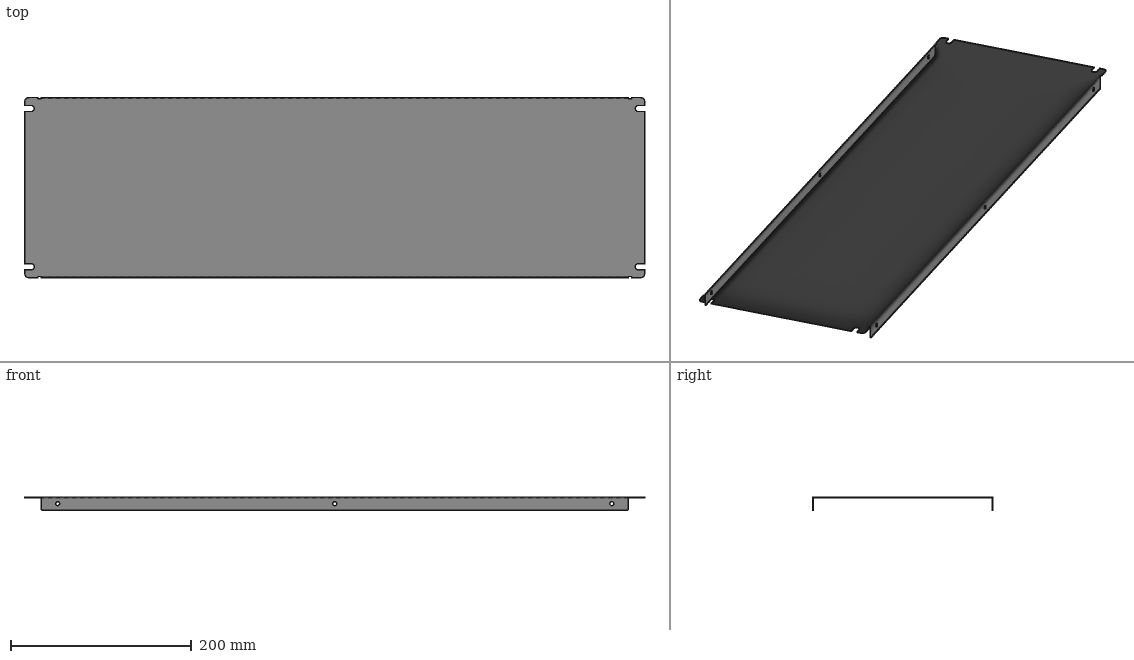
import cadquery as cq

length = 686.5
width = 199.6
height = 15.0

sheet = 1.0
bend_outer_radius = 1.25
bend_inner_radius = bend_outer_radius - sheet

ear_corner_radius = 4.5
relief_start = 14.5
relief_width = 3.75
relief_depth = bend_outer_radius

slot_width = 6.5
slot_depth = 10.5
slot_edge_distance = 12.2

flange_inset = relief_start + relief_width
flange_length = length - 2 * flange_inset
flange_corner_radius = 1.5

hole_diameter = 4.2
hole_spacing = 306.75
hole_depth_below_top = height / 2


def make_plate():
    """Flat panel with rounded corners, its top face at Z = height / 2."""
    plate = cq.Workplane("XY").box(length, width, sheet)
    plate = plate.edges("|Z").fillet(ear_corner_radius)
    return plate.translate((0, 0, (height - sheet) / 2))


def cut_bend_edges(plate):
    """Trim both long edges between the ears, reliefs included, to make room for the bends."""
    trim_length = length - 2 * relief_start
    for side in (-1, 1):
        trim = cq.Workplane("XY").box(trim_length, 2 * relief_depth, height)
        plate = plate.cut(trim.translate((0, side * width / 2, height / 2)))
    return plate


def make_flange():
    """Bend and downturned flange along the -Y edge."""
    outer_y = -width / 2
    inner_y = outer_y + sheet
    bend_y = outer_y + bend_outer_radius
    top_z = height / 2
    bottom_z = -height / 2
    bend_z = top_z - bend_outer_radius
    section = (
        cq.Workplane("YZ", origin=(-flange_length / 2, 0, 0))
        .moveTo(outer_y, bottom_z)
        .lineTo(outer_y, bend_z)
        .radiusArc((bend_y, top_z), bend_outer_radius)
        .lineTo(bend_y, top_z - sheet)
        .radiusArc((inner_y, bend_z), -bend_inner_radius)
        .lineTo(inner_y, bottom_z)
        .close()
    )
    flange = section.extrude(flange_length)
    flange = flange.edges("|Y and <Z").edges("<X or >X").fillet(flange_corner_radius)
    holes = (
        cq.Workplane("XZ", origin=(0, -width / 2 + sheet, height / 2 - hole_depth_below_top))
        .pushPoints([(-hole_spacing, 0), (0, 0), (hole_spacing, 0)])
        .circle(hole_diameter / 2)
        .extrude(sheet)
    )
    return flange.cut(holes)


def cut_slots(panel):
    """Round-ended slots opening through both short edges near each corner."""
    slot_y = width / 2 - slot_edge_distance
    centers = [(x, y) for x in (-length / 2, length / 2) for y in (-slot_y, slot_y)]
    slots = (
        cq.Workplane("XY")
        .pushPoints(centers)
        .slot2D(2 * slot_depth, slot_width)
        .extrude(height)
    )
    return panel.cut(slots)


flange = make_flange()
panel = cut_slots(cut_bend_edges(make_plate()))
result = panel.union(flange).union(flange.mirror("XZ"))